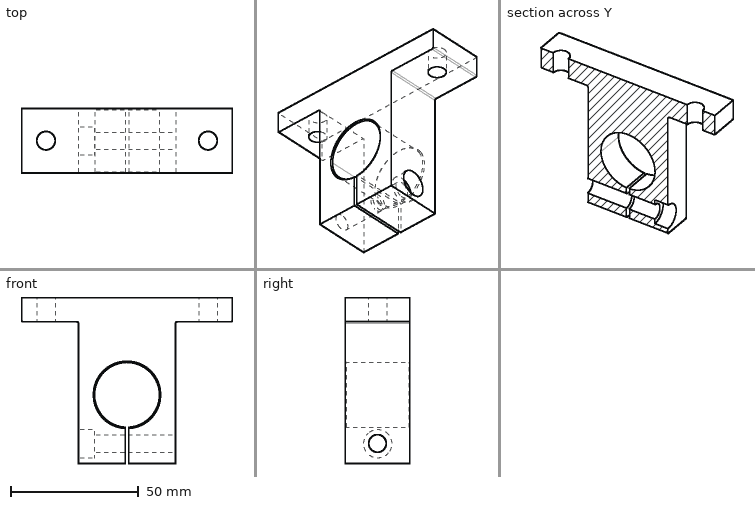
import cadquery as cq

WIDTH = 82.55
DEPTH = 25.4
HEIGHT = 65.09

FLANGE_THICKNESS = 9.525
BODY_WIDTH = 38.1
EDGE_RADIUS = 0.6

BORE_DIAMETER = 25.4
BORE_DROP = 38.1
BORE_CHAMFER = 0.5
SLIT_WIDTH = 1.2

MOUNT_HOLE_DIAMETER = 7.14
MOUNT_HOLE_SPACING = 63.5

SCREW_HEIGHT = 7.94
SCREW_HOLE_DIAMETER = 6.8
SCREW_HEAD_DIAMETER = 11.1
SCREW_HEAD_DEPTH = 6.2

FLANGE_UNDERSIDE = HEIGHT - FLANGE_THICKNESS
BORE_HEIGHT = HEIGHT - BORE_DROP


def make_blank():
    """T-shaped block with its bottom face on Z = 0, centred on X and Y."""
    body = cq.Workplane("XY").box(BODY_WIDTH, DEPTH, HEIGHT, centered=(True, True, False))
    flange = (
        cq.Workplane("XY")
        .workplane(offset=FLANGE_UNDERSIDE)
        .box(WIDTH, DEPTH, FLANGE_THICKNESS, centered=(True, True, False))
    )
    blank = body.union(flange)
    underside_edges = cq.selectors.BoxSelector(
        (-WIDTH, -DEPTH, FLANGE_UNDERSIDE - EDGE_RADIUS),
        (WIDTH, DEPTH, FLANGE_UNDERSIDE + EDGE_RADIUS),
    )
    return blank.edges("|Y").edges(underside_edges).fillet(EDGE_RADIUS)


def make_bore():
    """Shaft bore with a chamfer flaring out at both end faces."""
    radius = BORE_DIAMETER / 2
    mouth_radius = radius + BORE_CHAMFER
    half_depth = DEPTH / 2
    straight_end = half_depth - BORE_CHAMFER
    profile = (
        cq.Workplane("XY")
        .moveTo(0, -half_depth)
        .lineTo(mouth_radius, -half_depth)
        .lineTo(radius, -straight_end)
        .lineTo(radius, straight_end)
        .lineTo(mouth_radius, half_depth)
        .lineTo(0, half_depth)
        .close()
    )
    return profile.revolve(360, (0, 0), (0, 1)).translate((0, 0, BORE_HEIGHT))


def make_slit():
    """Clamping slit from the bottom face up into the bore."""
    return cq.Workplane("XY").box(SLIT_WIDTH, DEPTH, BORE_HEIGHT, centered=(True, True, False))


def make_mount_holes():
    """Pair of through holes in the flange."""
    return (
        cq.Workplane("XY")
        .workplane(offset=FLANGE_UNDERSIDE)
        .rarray(MOUNT_HOLE_SPACING, 1, 2, 1)
        .circle(MOUNT_HOLE_DIAMETER / 2)
        .extrude(FLANGE_THICKNESS)
    )


def make_screw_hole():
    """Clamp screw hole through the body, with its head counterbore on the -X side."""
    side_face = cq.Workplane("YZ", origin=(-BODY_WIDTH / 2, 0, SCREW_HEIGHT))
    shank = side_face.circle(SCREW_HOLE_DIAMETER / 2).extrude(BODY_WIDTH)
    head = side_face.circle(SCREW_HEAD_DIAMETER / 2).extrude(SCREW_HEAD_DEPTH)
    return shank.union(head)


result = (
    make_blank()
    .cut(make_bore())
    .cut(make_slit())
    .cut(make_mount_holes())
    .cut(make_screw_hole())
)